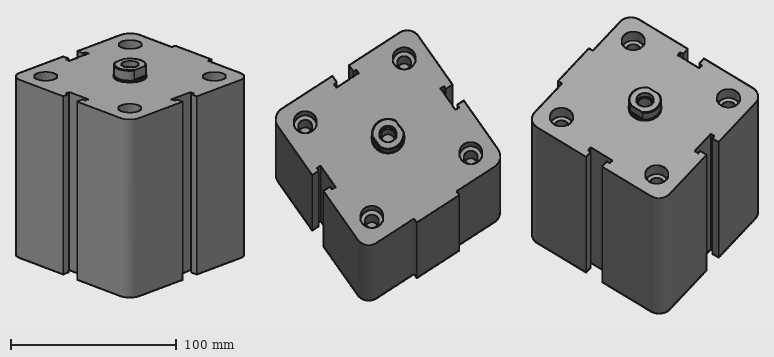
import cadquery as cq

block_side = 102.0
block_height = 116.1
corner_radius = 8.0

rail_width = 31.0
rail_height = 3.0
rail_embedding = 6.2
rail_root_radius = 0.5

slot_opening = 12.0
slot_depth = 7.5
lip_thickness = 4.8
undercut_width = 16.2

hole_spacing = 71.9
hole_diameter = 8.4
hole_depth = 24.8
counterbore_diameter = 14.0
counterbore_depth = 8.9

overall_height = 124.0
rod_diameter = 20.0
rod_depth = 24.8
collar_height = 1.2
collar_chamfer_height = 0.5
head_diameter = 19.5
head_chamfer = 0.5
across_flats = 17.0
flats_base = 1.7
socket_diameter = 8.4
socket_depth = 14.9
socket_entry_diameter = 10.4
socket_entry_depth = 3.7

half_side = block_side / 2
rod_bottom = block_height - rod_depth


def make_block():
    """Square block with rounded vertical corners and the rail on its +Y side."""
    block = (
        cq.Workplane("XY")
        .rect(block_side, block_side)
        .extrude(block_height)
        .edges("|Z")
        .fillet(corner_radius)
    )
    rail = (
        cq.Workplane("XY")
        .center(0, half_side + (rail_height - rail_embedding) / 2)
        .rect(rail_width, rail_height + rail_embedding)
        .extrude(block_height)
    )
    rail_roots = cq.selectors.BoxSelector(
        (-rail_width, half_side - rail_root_radius, 0),
        (rail_width, half_side + rail_root_radius, block_height),
    )
    return block.union(rail).edges("|Z").edges(rail_roots).fillet(rail_root_radius)


def make_slot_cutter():
    """T-shaped prism cutting a full-height slot into the -Y side."""
    opening = (
        cq.Workplane("XY")
        .center(0, -half_side + slot_depth / 2)
        .rect(slot_opening, slot_depth)
        .extrude(block_height)
    )
    undercut = (
        cq.Workplane("XY")
        .center(0, -half_side + (lip_thickness + slot_depth) / 2)
        .rect(undercut_width, slot_depth - lip_thickness)
        .extrude(block_height)
    )
    return opening.union(undercut)


def make_housing():
    """Block with three slots, four counterbored corner holes and a bore that the rod fills."""
    housing = make_block()

    slot_cutter = make_slot_cutter()
    for angle in (-90, 0, 90):
        housing = housing.cut(slot_cutter.rotate((0, 0, 0), (0, 0, 1), angle))

    housing = (
        housing.faces(">Z")
        .workplane(origin=(0, 0, block_height))
        .rect(hole_spacing, hole_spacing, forConstruction=True)
        .vertices()
        .cboreHole(hole_diameter, counterbore_diameter, counterbore_depth, hole_depth)
    )

    rod_bore = cq.Workplane("XY").workplane(offset=rod_bottom).circle(rod_diameter / 2).extrude(rod_depth)
    return housing.cut(rod_bore)


def make_rod():
    """Round rod whose projecting head has two flats facing -X and +X and a stepped socket."""
    shank = (
        cq.Workplane("XY")
        .workplane(offset=rod_bottom)
        .circle(rod_diameter / 2)
        .extrude(rod_depth + collar_height)
        .faces(">Z")
        .chamfer(collar_chamfer_height, (rod_diameter - head_diameter) / 2)
    )
    head_height = overall_height - block_height - collar_height
    head = (
        cq.Workplane("XY")
        .workplane(offset=block_height + collar_height)
        .circle(head_diameter / 2)
        .extrude(head_height)
        .faces(">Z")
        .chamfer(head_chamfer)
    )
    rod = shank.union(head)

    flats_cutter = (
        cq.Workplane("XY")
        .workplane(offset=block_height + flats_base)
        .rect(2 * rod_diameter, 2 * rod_diameter)
        .rect(across_flats, 2 * rod_diameter)
        .extrude(overall_height - block_height - flats_base)
    )
    rod = rod.cut(flats_cutter)

    return (
        rod.faces(">Z")
        .workplane(origin=(0, 0, overall_height))
        .cboreHole(socket_diameter, socket_entry_diameter, socket_entry_depth, socket_depth)
    )


housing = make_housing()
rod = make_rod()

result = cq.Compound.makeCompound([housing.solids().val(), rod.solids().val()])